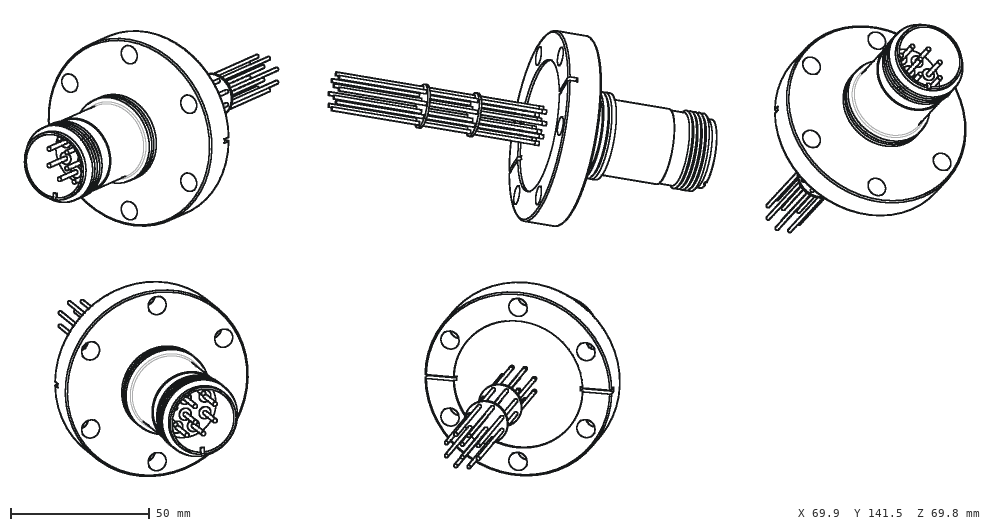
import cadquery as cq
import math


overall_length = 141.48
connector_length = 50.98
flange_diameter = 69.85
flange_thickness = 12.7
flange_chamfer = 0.6
bolt_count = 6
bolt_circle_diameter = 58.72
bolt_hole_diameter = 6.8
seal_recess_diameter = 48.3
seal_recess_depth = 0.9
leak_groove_width = 1.5
leak_groove_depth = 3.5
leak_groove_overlap = 1.0

neck_radius = 9.45
neck_length = 1.3
lip_radius = 9.6
lip_end = 1.75
cone_end_radius = 14.35
collar_start = 6.9
collar_end = 11.7
collar_radius = 15.95
collar_groove_width = 1.4
collar_groove_depth = 0.9
collar_fillet = 0.6
body_radius = 13.85
body_end = 34.5
relief_radius = 13.45
thread_crest_radius = 14.35
thread_start = 40.3
thread_pitch = 1.6
thread_count = 5
rim_start = 49.2
rim_radius = 12.6

bore_radius = 11.8
bore_depth = 20.0
key_width = 1.4
key_height = 1.4
key_setback = 0.6
key_length = 0.6

ring_contact_count = 8
ring_start_angle = 180 / ring_contact_count
pin_ring_radius = 8.19
pin_pair_offset = 3.0
pin_diameter = 1.6
pin_setback = 8.7
insulator_diameter = 4.5
insulator_height = 0.2
rod_ring_radius = 6.45
rod_pair_offset = 2.45
rod_diameter = 1.4
sleeve_diameter = 1.5
sleeve_height = 0.7

spacer_diameter = 16.0
spacer_thickness = 0.9
spacer_offsets = (24.7, 44.2)

flange_back = flange_thickness
recess_floor = flange_back - seal_recess_depth
rim_face = -connector_length
bore_floor = rim_face + bore_depth
pin_tip = rim_face + pin_setback
rod_end = overall_length - connector_length


def rod_along_y(diameter, y_start, y_end, x=0.0, z=0.0):
    """Cylinder parallel to Y between two stations."""
    return cq.Workplane("XY").add(
        cq.Solid.makeCylinder(
            diameter / 2, y_end - y_start, cq.Vector(x, y_start, z), cq.Vector(0, 1, 0)
        )
    )


def box_between(x_range, y_range, z_range):
    """Box given by its lower and upper limits on each axis."""
    sizes = [upper - lower for lower, upper in (x_range, y_range, z_range)]
    corner = (x_range[0], y_range[0], z_range[0])
    return cq.Workplane("XY").box(*sizes, centered=False).translate(corner)


def circle_points(radius, count, start_angle):
    """Evenly spaced (x, z) points on a circle about the Y axis."""
    angles = [math.radians(start_angle + 360 / count * i) for i in range(count)]
    return [(radius * math.cos(a), radius * math.sin(a)) for a in angles]


def contact_points(ring_radius, pair_offset):
    """The (x, z) points of the eight ring contacts and the inner pair."""
    ring = circle_points(ring_radius, ring_contact_count, ring_start_angle)
    return ring + [(0, pair_offset), (0, -pair_offset)]


def make_flange():
    flange = rod_along_y(flange_diameter, 0, flange_back).edges().chamfer(flange_chamfer)
    flange = flange.cut(rod_along_y(seal_recess_diameter, recess_floor, flange_back))
    for x, z in circle_points(bolt_circle_diameter / 2, bolt_count, 90):
        flange = flange.cut(rod_along_y(bolt_hole_diameter, 0, flange_back, x, z))
    leak_groove = box_between(
        (seal_recess_diameter / 2 - leak_groove_overlap, flange_diameter / 2),
        (flange_back - leak_groove_depth, flange_back),
        (-leak_groove_width / 2, leak_groove_width / 2),
    )
    return flange.cut(leak_groove).cut(leak_groove.mirror("YZ"))


def make_shell():
    collar_middle = (collar_start + collar_end) / 2
    groove_half = collar_groove_width / 2
    profile = [
        (0, 0),
        (neck_radius, 0),
        (neck_radius, neck_length),
        (lip_radius, neck_length),
        (lip_radius, lip_end),
        (cone_end_radius, collar_start),
        (collar_radius, collar_start),
        (collar_radius, collar_middle - groove_half),
        (collar_radius - collar_groove_depth, collar_middle),
        (collar_radius, collar_middle + groove_half),
        (collar_radius, collar_end),
        (body_radius + collar_fillet, collar_end),
    ]
    outline = cq.Workplane("XY").polyline([(r, -d) for r, d in profile])
    outline = outline.radiusArc((body_radius, -collar_end - collar_fillet), -collar_fillet)
    outline = outline.lineTo(body_radius, -body_end).lineTo(relief_radius, -body_end)
    for i in range(thread_count):
        groove_start = thread_start + i * thread_pitch
        outline = outline.lineTo(relief_radius, -groove_start)
        outline = outline.lineTo(thread_crest_radius, -groove_start - thread_pitch / 2)
    outline = outline.lineTo(rim_radius, -rim_start)
    outline = outline.lineTo(rim_radius, rim_face).lineTo(0, rim_face).close()
    return outline.revolve(360, (0, 0, 0), (0, 1, 0))


def cut_socket(shell):
    """Bore the shell, leaving a short key on its lower wall and a notch in the rim."""
    key_sides = (-key_width / 2, key_width / 2)
    key_front = rim_face + key_setback
    key_top = -bore_radius + key_height
    bore = rod_along_y(2 * bore_radius, rim_face, bore_floor)
    key = box_between(key_sides, (key_front, key_front + key_length), (-rim_radius, key_top))
    notch = box_between(key_sides, (rim_face, key_front), (-rim_radius, key_top))
    return shell.cut(bore.cut(key)).cut(notch)


def add_contacts(part):
    for x, z in contact_points(pin_ring_radius, pin_pair_offset):
        insulator = rod_along_y(insulator_diameter, bore_floor - insulator_height, bore_floor, x, z)
        pin = rod_along_y(pin_diameter, pin_tip, bore_floor, x, z)
        part = part.union(insulator).union(pin)
    for x, z in contact_points(rod_ring_radius, rod_pair_offset):
        sleeve = rod_along_y(sleeve_diameter, recess_floor, flange_back + sleeve_height, x, z)
        rod = rod_along_y(rod_diameter, recess_floor, rod_end, x, z)
        part = part.union(sleeve).union(rod)
    return part


def add_spacers(part):
    for offset in spacer_offsets:
        middle = flange_back + offset
        spacer = rod_along_y(
            spacer_diameter, middle - spacer_thickness / 2, middle + spacer_thickness / 2
        )
        part = part.union(spacer)
    return part


body = make_flange().union(cut_socket(make_shell()))
result = add_spacers(add_contacts(body))